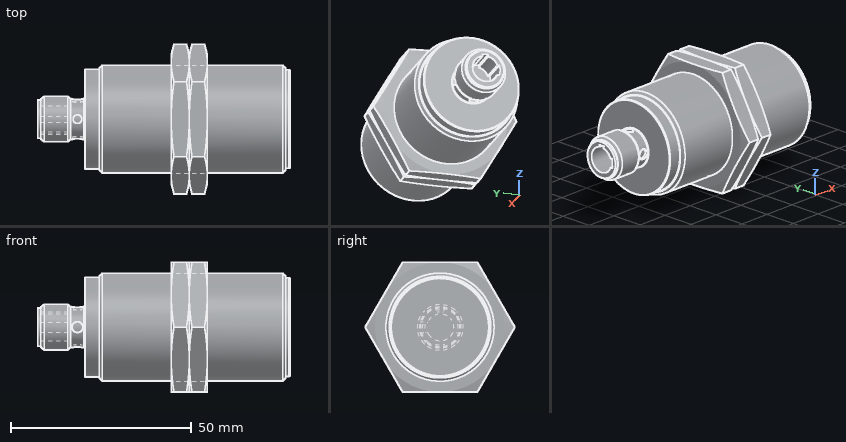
import cadquery as cq
import math


TIP_END = 0.85
THREAD_START = 1.75
THREAD_END = 8.35
NECK_START = 9.2
COLLAR_START = 13.0
SLEEVE_START = 17.0
CAP_START = 68.8
SENSOR_LENGTH = 70.0

TIP_RADIUS = 5.35
THREAD_ROOT_RADIUS = 5.6
THREAD_RADIUS = 6.35
SHOULDER_RADIUS = 5.75
NECK_RADIUS = 5.65
COLLAR_RADIUS = 13.85
SLEEVE_RADIUS = 15.0
CAP_RADIUS = 13.7

SHOULDER_WIDTH = 0.25
COLLAR_CHAMFER = 0.2
SLEEVE_CHAMFER = 0.9
CAP_CHAMFER = 0.4
CAP_CHAMFER_DEPTH = 0.2

SOCKET_RADIUS = 3.75
SOCKET_DEPTH = 9.0
KEY_REACH = 4.25
TOP_KEY_WIDTH = 1.6
SIDE_KEY_WIDTH = 2.8

WINDOW_X = 11.0
WINDOW_FLOOR_RADIUS = 4.9
SIDE_WINDOW_DIAMETER = 3.0
TOP_WINDOW_DIAMETER = 2.4

NUT_COUNT = 2
NUT_START = 37.0
NUT_THICKNESS = 5.0
NUT_ACROSS_FLATS = 36.0
NUT_CHAMFER_ANGLE = 15.0


def turned_body():
    """Plug, neck, collar, sleeve and end cap revolved about the X axis."""
    profile = [
        (0, 0),
        (0, TIP_RADIUS),
        (TIP_END, TIP_RADIUS),
        (TIP_END, THREAD_ROOT_RADIUS),
        (THREAD_START, THREAD_RADIUS),
        (THREAD_END, THREAD_RADIUS),
        (NECK_START - SHOULDER_WIDTH, SHOULDER_RADIUS),
        (NECK_START, SHOULDER_RADIUS),
        (NECK_START, NECK_RADIUS),
        (COLLAR_START - SHOULDER_WIDTH, NECK_RADIUS),
        (COLLAR_START - SHOULDER_WIDTH, SHOULDER_RADIUS),
        (COLLAR_START, SHOULDER_RADIUS),
        (COLLAR_START, COLLAR_RADIUS - COLLAR_CHAMFER),
        (COLLAR_START + COLLAR_CHAMFER, COLLAR_RADIUS),
        (SLEEVE_START, COLLAR_RADIUS),
        (SLEEVE_START, SLEEVE_RADIUS - SLEEVE_CHAMFER),
        (SLEEVE_START + SLEEVE_CHAMFER, SLEEVE_RADIUS),
        (CAP_START - SLEEVE_CHAMFER, SLEEVE_RADIUS),
        (CAP_START, SLEEVE_RADIUS - SLEEVE_CHAMFER),
        (CAP_START, CAP_RADIUS),
        (SENSOR_LENGTH - CAP_CHAMFER, CAP_RADIUS),
        (SENSOR_LENGTH, CAP_RADIUS - CAP_CHAMFER_DEPTH),
        (SENSOR_LENGTH, 0),
    ]
    return cq.Workplane("XY").polyline(profile).close().revolve(360, (0, 0, 0), (1, 0, 0))


def socket():
    """Blind round bore with a flat-topped keyway towards +Z and an arc-backed one towards -Y."""
    bore = cq.Workplane("YZ").circle(SOCKET_RADIUS).extrude(SOCKET_DEPTH)
    top_key = (
        cq.Workplane("YZ")
        .center(0, KEY_REACH / 2)
        .rect(TOP_KEY_WIDTH, KEY_REACH)
        .extrude(SOCKET_DEPTH)
    )
    side_key_slot = (
        cq.Workplane("YZ")
        .center(-KEY_REACH / 2, 0)
        .rect(KEY_REACH, SIDE_KEY_WIDTH)
        .extrude(SOCKET_DEPTH)
    )
    key_limit = cq.Workplane("YZ").circle(KEY_REACH).extrude(SOCKET_DEPTH)
    side_key = side_key_slot.intersect(key_limit)
    return bore.union(top_key).union(side_key)


def neck_window(diameter, angle):
    """Round recess in the neck with a floor concentric to the sensor; angle 0 faces +Z."""
    drill = cq.Workplane("XY").center(WINDOW_X, 0).circle(diameter / 2).extrude(THREAD_RADIUS)
    core = cq.Workplane("YZ").circle(WINDOW_FLOOR_RADIUS).extrude(COLLAR_START)
    return drill.cut(core).rotate((0, 0, 0), (1, 0, 0), angle)


def make_sensor():
    sensor = turned_body().cut(socket())
    for diameter, angle in (
        (TOP_WINDOW_DIAMETER, 0),
        (SIDE_WINDOW_DIAMETER, 90),
        (TOP_WINDOW_DIAMETER, 180),
        (SIDE_WINDOW_DIAMETER, 270),
    ):
        sensor = sensor.cut(neck_window(diameter, angle))
    return sensor


def make_nut(start):
    """Hexagon nut with corners on +Y and -Y, both faces chamfered down to the flats."""
    flat_radius = NUT_ACROSS_FLATS / 2
    corner_radius = flat_radius / math.cos(math.radians(30))
    chamfer_depth = (corner_radius - flat_radius) * math.tan(math.radians(NUT_CHAMFER_ANGLE))
    end = start + NUT_THICKNESS
    hexagon = (
        cq.Workplane("YZ", origin=(start, 0, 0))
        .polygon(6, 2 * corner_radius)
        .extrude(NUT_THICKNESS)
    )
    envelope = (
        cq.Workplane("XY")
        .polyline([
            (start, SLEEVE_RADIUS),
            (start, flat_radius),
            (start + chamfer_depth, corner_radius),
            (end - chamfer_depth, corner_radius),
            (end, flat_radius),
            (end, SLEEVE_RADIUS),
        ])
        .close()
        .revolve(360, (0, 0, 0), (1, 0, 0))
    )
    return hexagon.intersect(envelope)


sensor = make_sensor()
nuts = [make_nut(NUT_START + index * NUT_THICKNESS) for index in range(NUT_COUNT)]

result = cq.Compound.makeCompound([sensor.val(), *[nut.val() for nut in nuts]])